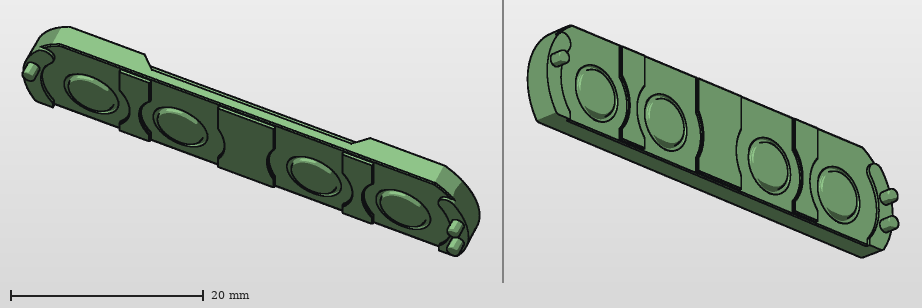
import cadquery as cq
import math

length = 50.8
end_radius = 7.6
end_centre_x = length / 2 - end_radius
top_z = 6.7
bottom_z = -4.45
plate_thickness = 2.6
draft_angle = 1.0
corner_fillet = 0.6
front_chamfer = 0.15

pad_height = 0.35
pad_chamfer = 0.1
pad_margin = 0.3
pad_span_z = top_z - bottom_z - 2 * pad_margin
pad_centre_z = (top_z + bottom_z) / 2

inner_button_x = 7.6
button_xs = [-end_centre_x, -inner_button_x, inner_button_x, end_centre_x]
button_radius = 2.6
button_height = 0.25
groove_outer_radius = 3.1
groove_depth = 0.25
groove_fillet = 0.15
back_disc_radius = 2.2
back_disc_height = 0.15

side_pad_x = (inner_button_x + end_centre_x) / 2
side_pad_width = 3.5
side_scallop_radius = 4.45
centre_pad_width = 6.45
centre_scallop_radius = 5.15

crescent_inner_radius = 5.6
crescent_mid_radius = (crescent_inner_radius + end_radius) / 2
crescent_cap_radius = (end_radius - crescent_inner_radius) / 2
crescent_cap_angle = math.radians(38.5)
crescent_foot_x = 22.0

pin_radius = 0.7
pin_height = 1.4
pin_fillet = 0.15
rounder_pin_fillet = 0.3
pin_z = 1.55
pin_x = end_centre_x + math.sqrt(crescent_mid_radius**2 - pin_z**2)
pins = [
    (-pin_x, pin_z, pin_fillet),
    (pin_x, pin_z, rounder_pin_fillet),
    (pin_x, -pin_z, pin_fillet),
]

recess_half_length = 11.4
recess_depth_y = 1.45
recess_depth_z = 1.8
recess_fillet = 0.2


def front_plane(y):
    """Sketch plane at the given Y with local axes X and Z; extrusions run towards -Y."""
    return cq.Workplane("XZ", origin=(0, y, 0))


def cylinder(x, z, radius, y_start, y_end):
    """Cylinder along Y between two Y positions."""
    return front_plane(y_end).center(x, z).circle(radius).extrude(y_end - y_start)


def make_envelope():
    """Drafted body with round ends, widest at the front of the pads."""
    top_x = end_centre_x + math.sqrt(end_radius**2 - top_z**2)
    bottom_x = end_centre_x + math.sqrt(end_radius**2 - bottom_z**2)
    envelope = (
        front_plane(-pad_height)
        .moveTo(-top_x, top_z)
        .lineTo(top_x, top_z)
        .threePointArc((length / 2, 0), (bottom_x, bottom_z))
        .lineTo(-bottom_x, bottom_z)
        .threePointArc((-length / 2, 0), (-top_x, top_z))
        .close()
        .extrude(-(plate_thickness + pad_height), taper=draft_angle)
    )
    side_edges = envelope.edges("not(<Y or >Y)")
    return side_edges.fillet(corner_fillet)


def make_plate(envelope):
    """Part of the envelope behind the front face, with a chamfered front edge."""
    room = front_plane(plate_thickness).rect(2 * length, length).extrude(plate_thickness)
    return envelope.intersect(room).faces("<Y").edges().chamfer(front_chamfer)


def make_recess():
    """Cutter for the recess: 45 degree ends and a rounded floor edge."""
    flare = recess_half_length + recess_depth_y
    front_y = plate_thickness - recess_depth_y
    cutter = (
        cq.Workplane("XY", origin=(0, 0, top_z - recess_depth_z))
        .moveTo(-recess_half_length, front_y)
        .lineTo(recess_half_length, front_y)
        .lineTo(flare, plate_thickness)
        .lineTo(-flare, plate_thickness)
        .close()
        .extrude(recess_depth_z)
    )
    return cutter.faces("<Z").edges("not(>Y)").fillet(recess_fillet)


def make_scalloped_pad(x, width, scallop_xs, scallop_radius):
    """Upright pad at x, cut back around the buttons beside it and bevelled along its sides."""
    pad = front_plane(0).center(x, pad_centre_z).rect(width, pad_span_z).extrude(pad_height)
    for button_x in scallop_xs:
        pad = pad.cut(cylinder(button_x, 0, scallop_radius, -pad_height, 0))
    return pad.faces("<Y").edges("not(|X)").chamfer(pad_chamfer)


def make_crescent(envelope):
    """Pad along the right-hand rounded end, closed by a round cap at its upper end."""
    cap_x = end_centre_x + crescent_mid_radius * math.cos(crescent_cap_angle)
    cap_z = crescent_mid_radius * math.sin(crescent_cap_angle)
    reach = 2 * end_radius
    ray_x = end_centre_x + reach * math.cos(crescent_cap_angle)
    ray_z = reach * math.sin(crescent_cap_angle)
    sector = (
        front_plane(front_chamfer)
        .moveTo(end_centre_x, 0)
        .lineTo(ray_x, ray_z)
        .lineTo(end_centre_x + reach, -reach)
        .lineTo(crescent_foot_x, -reach)
        .lineTo(crescent_foot_x, 0)
        .close()
        .extrude(pad_height + front_chamfer)
    )
    band = sector.cut(cylinder(end_centre_x, 0, crescent_inner_radius, -pad_height, front_chamfer))
    cap = cylinder(cap_x, cap_z, crescent_cap_radius, -pad_height, front_chamfer)
    return band.union(cap).intersect(envelope)


def make_button(x):
    """Round-edged button inside its ring groove."""
    button = cylinder(x, 0, button_radius, -button_height, groove_depth)
    return button.faces("<Y").edges().fillet(button_height)


def make_groove(x):
    """Ring groove around a button, with a rounded floor."""
    outer = cylinder(x, 0, groove_outer_radius, 0, groove_depth)
    ring = outer.cut(cylinder(x, 0, button_radius, 0, groove_depth))
    return ring.faces(">Y").edges().fillet(groove_fillet)


def make_pin(x, z, tip_fillet):
    """Locating pin with a rounded tip."""
    pin = cylinder(x, z, pin_radius, -pad_height - pin_height, 0)
    return pin.faces("<Y").edges().fillet(tip_fillet)


envelope = make_envelope()
result = make_plate(envelope).cut(make_recess())

crescent = make_crescent(envelope)
result = result.union(crescent).union(crescent.mirror("YZ"))

for side in (-1, 1):
    neighbours = [side * inner_button_x, side * end_centre_x]
    side_pad = make_scalloped_pad(side * side_pad_x, side_pad_width, neighbours, side_scallop_radius)
    result = result.union(side_pad)

inner_buttons = [-inner_button_x, inner_button_x]
result = result.union(make_scalloped_pad(0, centre_pad_width, inner_buttons, centre_scallop_radius))

back_y = plate_thickness + back_disc_height
for x in button_xs:
    result = result.cut(make_groove(x))
    result = result.union(make_button(x))
    result = result.union(cylinder(x, 0, back_disc_radius, plate_thickness, back_y))

for x, z, tip_fillet in pins:
    result = result.union(make_pin(x, z, tip_fillet))